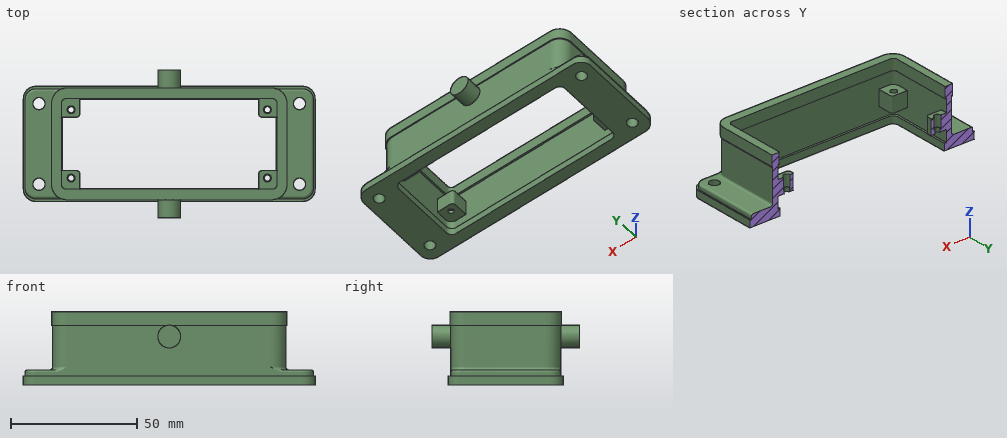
import cadquery as cq

length = 115.5
height = 29.0
pin_span = 58.5

flange_width = 45.6
flange_height = 3.6
flange_radius = 5.0

pad_inset = 0.7
pad_top = 6.0
pad_radius = flange_radius - pad_inset
pad_edge_radius = 1.0

body_length = 92.4
body_width = 43.5
body_radius = 6.0
foot_fillet = 1.0
collar_overhang = 0.3
collar_bottom = 23.5

opening_length = 84.5
opening_width = 35.1
opening_radius = 2.8
ledge_width = 1.0
ledge_height = 3.6
cavity_radius = 2.9
mouth_length = 85.2
mouth_width = 35.8
mouth_radius = 1.8

post_inner_x = 35.3
post_inner_y = 10.5
post_radius = 1.4
post_bottom = 9.2
post_top = 17.0
post_hole_x = 38.8
post_hole_y = 13.5
post_hole_diameter = 3.1
post_hole_end_diameter = 2.4
post_hole_depth = 5.8
post_wall_overlap = 0.6

mount_hole_x = 51.5
mount_hole_y = 15.9
mount_hole_diameter = 4.7
pin_diameter = 9.0
pin_height = 19.2

cavity_length = opening_length + 2 * ledge_width
cavity_width = opening_width + 2 * ledge_width


def rounded_block(size_x, size_y, radius, bottom, top):
    """Centred block with rounded vertical corners between two heights."""
    block = cq.Workplane("XY").workplane(offset=bottom).rect(size_x, size_y).extrude(top - bottom)
    return block.edges("|Z").fillet(radius)


def make_shell():
    """Solid outer shape: raised pad and housing blended together, then flange and collar."""
    housing = rounded_block(body_length, body_width, body_radius, 0, height)

    pad = cq.Workplane("XY").box(length, 2 * body_width, pad_top, centered=(True, True, False))
    foot_edge = cq.selectors.NearestToPointSelector((body_length / 2, 0, pad_top))
    blend = pad.union(housing).edges(foot_edge).fillet(foot_fillet)

    pad_length = length - 2 * pad_inset
    blend = blend.intersect(rounded_block(pad_length, body_width, pad_radius, 0, height))
    for side in (1, -1):
        end_edge = cq.selectors.NearestToPointSelector((side * pad_length / 2, 0, pad_top))
        blend = blend.edges(end_edge).fillet(pad_edge_radius)

    flange = rounded_block(length, flange_width, flange_radius, 0, flange_height)
    collar = rounded_block(
        body_length + 2 * collar_overhang,
        body_width + 2 * collar_overhang,
        body_radius,
        collar_bottom,
        height,
    )
    return blend.union(flange).union(collar)


def make_interior():
    """Space inside the housing: base opening, wider cavity and mouth."""
    opening = rounded_block(opening_length, opening_width, opening_radius, 0, ledge_height)
    cavity = rounded_block(cavity_length, cavity_width, cavity_radius, ledge_height, collar_bottom)
    mouth = rounded_block(mouth_length, mouth_width, mouth_radius, collar_bottom, height)
    return opening.union(cavity).union(mouth)


def make_post(x_side, y_side):
    """Block in one cavity corner, reaching into both adjoining walls."""
    size_x = cavity_length / 2 + post_wall_overlap - post_inner_x
    size_y = cavity_width / 2 + post_wall_overlap - post_inner_y
    post = (
        cq.Workplane("XY")
        .workplane(offset=post_bottom)
        .center(x_side * (post_inner_x + size_x / 2), y_side * (post_inner_y + size_y / 2))
        .rect(size_x, size_y)
        .extrude(post_top - post_bottom)
    )
    inner_edge = cq.selectors.NearestToPointSelector(
        (x_side * post_inner_x, y_side * post_inner_y, (post_bottom + post_top) / 2)
    )
    return post.edges(inner_edge).fillet(post_radius)


def upright_cylinder(x, y, diameter, bottom, top):
    """Vertical cylinder between two heights."""
    base = cq.Workplane("XY").workplane(offset=bottom).center(x, y)
    return base.circle(diameter / 2).extrude(top - bottom)


def make_holes(x_side, y_side):
    """One flange mounting hole and one post hole that narrows at its lower end."""
    mount = upright_cylinder(
        x_side * mount_hole_x, y_side * mount_hole_y, mount_hole_diameter, 0, pad_top
    )
    x = x_side * post_hole_x
    y = y_side * post_hole_y
    narrow = upright_cylinder(x, y, post_hole_end_diameter, post_bottom, post_top)
    wide = upright_cylinder(x, y, post_hole_diameter, post_top - post_hole_depth, post_top)
    return mount.union(narrow).union(wide)


def make_pins():
    """Coaxial pins standing out from both long sides."""
    profile = cq.Workplane("XZ").center(0, pin_height).circle(pin_diameter / 2)
    pins = profile.extrude(pin_span / 2, both=True)
    housing_space = cq.Workplane("XY").box(body_length, body_width, 2 * height)
    return pins.cut(housing_space)


corners = [(1, 1), (-1, 1), (1, -1), (-1, -1)]

result = make_shell().cut(make_interior()).union(make_pins())
for x_side, y_side in corners:
    result = result.union(make_post(x_side, y_side))
    result = result.cut(make_holes(x_side, y_side))